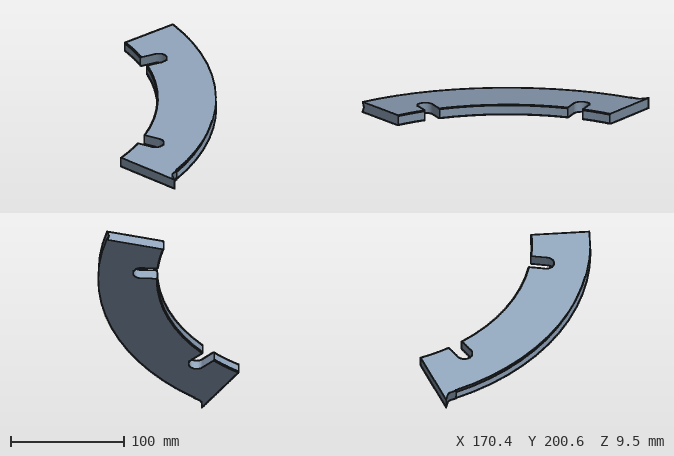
import cadquery as cq
import math

thickness = 9.5
inner_radius = 158.2
outer_radius = 210.5
sector_angle = 72.4
inner_chamfer = 0.8

groove_depth = 2.2
upper_lip_setback = 0.5
groove_start_angle = 3.5
plain_rim_step = 0.5

slot_radius = 7.2
slot_channel_width = 14.3
slot_centre_radius = 172.6
slot_spacing_angle = 47.1

spur_tip_radius = 218.2
spur_height = 5.2
spur_fillet = 5.0
spur_overlap = 4.0


def ring_sector(start_angle, end_angle, outer_profile):
    """Revolve the ring section, closed by the outer (radius, z) points listed from the bottom up."""
    inner_profile = [
        (inner_radius + inner_chamfer, thickness),
        (inner_radius, thickness - inner_chamfer),
        (inner_radius, inner_chamfer),
        (inner_radius + inner_chamfer, 0),
    ]
    sector = (
        cq.Workplane("XZ")
        .polyline(outer_profile + inner_profile)
        .close()
        .revolve(end_angle - start_angle, (0, 0, 0), (0, 1, 0))
    )
    return sector.rotate((0, 0, 0), (0, 0, 1), start_angle)


def radial_slot(angle):
    """Cutter for a round-ended slot that opens through the inner rim."""
    slot_length = slot_centre_radius - inner_radius / 2
    channel = (
        cq.Workplane("XY")
        .center(slot_centre_radius - slot_length / 2, 0)
        .rect(slot_length, slot_channel_width)
        .extrude(thickness)
    )
    round_end = cq.Workplane("XY").center(slot_centre_radius, 0).circle(slot_radius).extrude(thickness)
    return channel.union(round_end).rotate((0, 0, 0), (0, 0, 1), angle)


plain_rim_radius = outer_radius + plain_rim_step
plain_rim = [(plain_rim_radius, 0), (plain_rim_radius, thickness)]
grooved_rim = [
    (outer_radius, 0),
    (outer_radius - groove_depth, thickness / 2),
    (outer_radius - upper_lip_setback, thickness),
]

spur_root_x = math.sqrt(plain_rim_radius**2 - spur_height**2)
spur = (
    cq.Workplane("XY")
    .moveTo(plain_rim_radius - spur_overlap, 0)
    .lineTo(spur_tip_radius, 0)
    .lineTo(spur_root_x, spur_height)
    .lineTo(plain_rim_radius - spur_overlap, spur_height)
    .close()
    .extrude(thickness)
)
spur_end = ring_sector(0, groove_start_angle, plain_rim).union(spur)
spur_root = cq.selectors.NearestToPointSelector((spur_root_x, spur_height, thickness / 2))
spur_end = spur_end.edges("|Z").edges(spur_root).fillet(spur_fillet)

result = ring_sector(groove_start_angle, sector_angle, grooved_rim).union(spur_end)
for side in (-1, 1):
    result = result.cut(radial_slot((sector_angle + side * slot_spacing_angle) / 2))